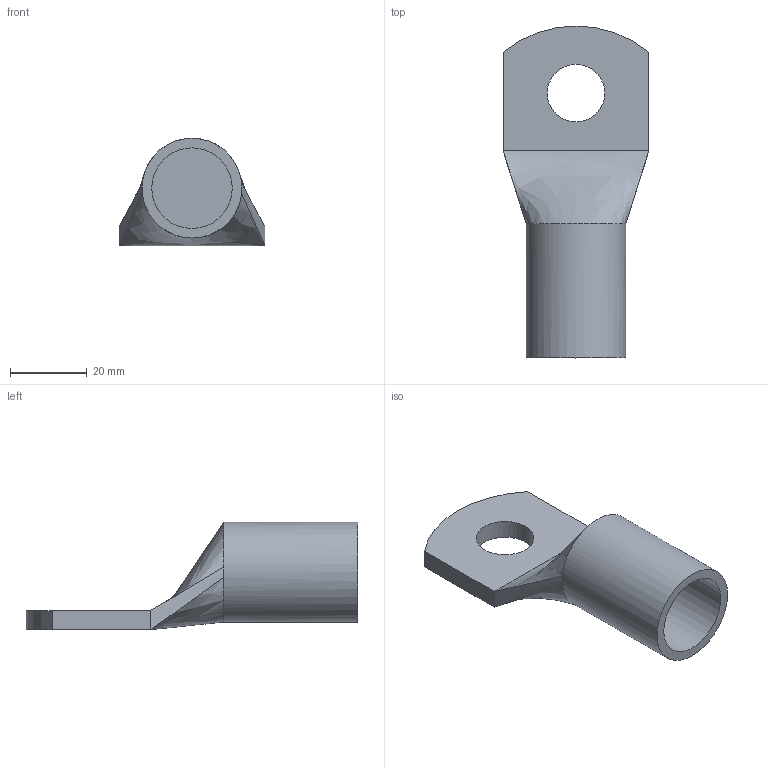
import cadquery as cq
import math

PALM_WIDTH = 38.0
PALM_THICKNESS = 5.0
PALM_LENGTH = 32.5
TIP_RADIUS = 30.0
HOLE_DIAMETER = 15.0
HOLE_TO_TIP = 17.5

BARREL_OUTER_RADIUS = 13.0
BARREL_BORE_RADIUS = 10.5
BARREL_LENGTH = 35.0
BARREL_RISE = 2.0
NECK_LENGTH = 19.0
NECK_SIDE_HALF_ANGLE = 6.0
NECK_SPANS = 3
SPLINE_SPANS = 8

AXIS_Z = BARREL_RISE + BARREL_OUTER_RADIUS
NECK_START_Y = BARREL_LENGTH
PALM_START_Y = NECK_START_Y + NECK_LENGTH
TIP_Y = PALM_START_Y + PALM_LENGTH
HALF_WIDTH = PALM_WIDTH / 2
TOP_RISE = AXIS_Z + BARREL_OUTER_RADIUS - PALM_THICKNESS
TIP_SAG = TIP_RADIUS - math.sqrt(TIP_RADIUS**2 - HALF_WIDTH**2)


def make_palm():
    """Flat plate with a rounded tip and a bolt hole."""
    shoulder_y = TIP_Y - TIP_SAG
    plate = (
        cq.Workplane("XY")
        .moveTo(-HALF_WIDTH, PALM_START_Y)
        .lineTo(HALF_WIDTH, PALM_START_Y)
        .lineTo(HALF_WIDTH, shoulder_y)
        .threePointArc((0, TIP_Y), (-HALF_WIDTH, shoulder_y))
        .close()
        .extrude(PALM_THICKNESS)
    )
    hole = (
        cq.Workplane("XY")
        .center(0, TIP_Y - HOLE_TO_TIP)
        .circle(HOLE_DIAMETER / 2)
        .extrude(PALM_THICKNESS)
    )
    return plate.cut(hole)


def make_barrel():
    """Tube closed at its inner end by the solid neck."""
    return (
        cq.Workplane("XZ", origin=(0, 0, AXIS_Z))
        .circle(BARREL_OUTER_RADIUS)
        .circle(BARREL_BORE_RADIUS)
        .extrude(-BARREL_LENGTH)
    )


def barrel_point(angle):
    """Point on the barrel's outer circle at the neck, angle in degrees from +X."""
    turn = math.radians(angle)
    x = BARREL_OUTER_RADIUS * math.cos(turn)
    z = AXIS_Z + BARREL_OUTER_RADIUS * math.sin(turn)
    return cq.Vector(x, NECK_START_Y, z)


def neck_point(side, across, along):
    """Point on one neck side: across runs corner to corner, along runs palm to barrel."""
    start_angle, end_angle, start_corner, end_corner, is_hollowed = side
    on_palm = start_corner + (end_corner - start_corner) * across
    on_barrel = barrel_point(start_angle + (end_angle - start_angle) * across)
    point = on_palm + (on_barrel - on_palm) * along
    if is_hollowed:
        across_share = 4 * across * (1 - across)
        dip = TOP_RISE * along * (1 - along) ** 2 * across_share
        point -= cq.Vector(0, 0, dip)
    return point


def neck_edge(side, along):
    """One side of a neck section: a line at the palm, an arc at the barrel, a spline between."""
    if along == 0:
        return cq.Edge.makeLine(neck_point(side, 0, 0), neck_point(side, 1, 0))
    if along == 1:
        return cq.Edge.makeThreePointArc(*[neck_point(side, across, 1) for across in (0, 0.5, 1)])
    points = [neck_point(side, i / SPLINE_SPANS, along) for i in range(SPLINE_SPANS + 1)]
    return cq.Edge.makeSpline(points)


def make_neck():
    """Solid neck lofted from the palm's rectangular end to the barrel's circular end."""
    lower_right = cq.Vector(HALF_WIDTH, PALM_START_Y, 0)
    upper_right = cq.Vector(HALF_WIDTH, PALM_START_Y, PALM_THICKNESS)
    upper_left = cq.Vector(-HALF_WIDTH, PALM_START_Y, PALM_THICKNESS)
    lower_left = cq.Vector(-HALF_WIDTH, PALM_START_Y, 0)
    right_low = -NECK_SIDE_HALF_ANGLE
    right_high = NECK_SIDE_HALF_ANGLE
    left_high = 180 - NECK_SIDE_HALF_ANGLE
    left_low = 180 + NECK_SIDE_HALF_ANGLE
    sides = [
        (right_low, right_high, lower_right, upper_right, False),
        (right_high, left_high, upper_right, upper_left, True),
        (left_high, left_low, upper_left, lower_left, False),
        (left_low, 360 + right_low, lower_left, lower_right, False),
    ]
    sections = []
    for i in range(NECK_SPANS + 1):
        along = i / NECK_SPANS
        sections.append(cq.Wire.assembleEdges([neck_edge(side, along) for side in sides]))
    return cq.Workplane(cq.Solid.makeLoft(sections))


result = make_barrel().union(make_neck()).union(make_palm())